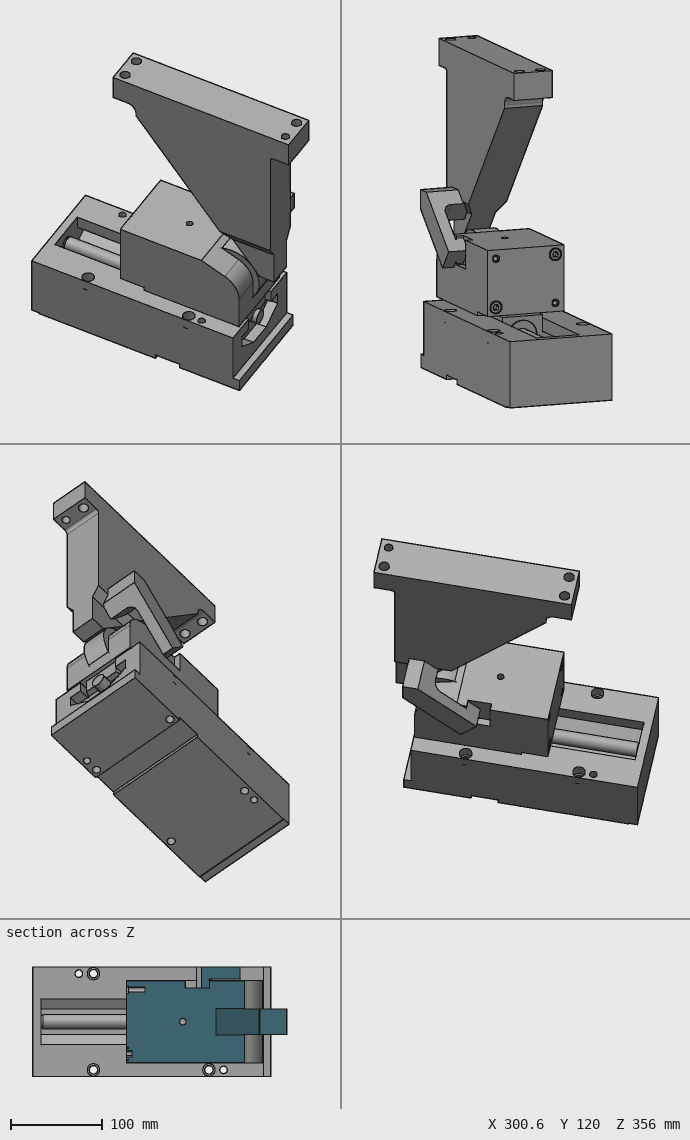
import cadquery as cq
import math


base_length = 252
base_width = 120
base_height = 75
foot_length = 8
foot_height = 15
end_wall = 9.5
end_relief = 1.3
key_slot_start = 155
key_slot_width = 30
key_slot_depth = 5
groove_half_width = 25
groove_lip_bottom = 60
undercut_half_width = 39.5
groove_floor_half_width = 14
groove_floor = 31
groove_floor_slope = 30

mount_x = (66.5, 192.5)
mount_y = 52.5
mount_hole = 9
mount_counterbore = 13.5
mount_counterbore_depth = 13
dowel_hole = 8
dowel_offset = 16

carriage_left = 102.5
carriage_right = 251
carriage_half_width = 45
carriage_top = 157
carriage_bottom = 79.3
overhang_bottom = 83.5
overhang_end = 132.2
nose_radius = 27
nose_slope = 20
tongue_left = 111.8
tongue_full_end = 240
tongue_right = 246.7
tongue_half_width = 23.5
tongue_taper = 2.5
nut_recess_radius = 17
nut_recess_depth = 1.5
face_hole_y = 35
face_hole_low = 93
face_hole_high = 147
screw_recess = 14
screw_head = 12.5
screw_gap_depth = 2
screw_socket_flats = 6
screw_socket_depth = 6
pin_recess = 8
pin_recess_depth = 2
pin_hole = 5
pin_hole_depth = 20
top_hole = 7
top_hole_x = 164
top_hole_depth = 15

wheel_radius = 35
wheel_x = carriage_right - nose_radius
wheel_z = 121

rod_radius = 8
rod_z = 57.5
rod_left = 11.5
rod_journal_radius = 7

arm_top = 356
flange_left = 80.8
flange_length = 219.8
flange_thickness = 30
arm_half_width = 22.5
neck_half_width = 14
neck_taper_top = 187
neck_taper_bottom = 173.3
arm_left = 109.3
arm_right = 277.6
arm_bottom = 133
left_fillet = 10
right_fillet = 4
slope_angle = 50
flange_hole_x = (90.3, 291)
flange_hole_y = 12.5
flange_hole = 11
flange_dowel_hole = 9

lever_angle = 90 - slope_angle
lever_tip_x = 179.1
lever_tip_z = 143
lever_thickness = 27.5
lever_right = 261.3
lever_top = 197.7
lever_outer_y = base_width / 2
lever_inner_y = 46.5
lever_opening_end_x = 229.2
lever_fillet = 10
hook_inner_y = 37
hook_right = 193
pocket_left = 166.8
pocket_floor = 125


def box(x, y, z):
    """Box spanning the (low, high) pairs given for X, Y and Z."""
    size = (x[1] - x[0], y[1] - y[0], z[1] - z[0])
    return cq.Workplane("XY").box(*size, centered=False).translate((x[0], y[0], z[0]))


def prism_xz(outline, y_low, y_high):
    """Extrude a closed outline, drawn on the XZ plane, between two Y values."""
    return outline.extrude(y_low - y_high).translate((0, y_low, 0))


def drill(x, y, z, diameter, depth):
    """Vertical hole tool whose upper end is at z."""
    return cq.Workplane("XY").center(x, y).circle(diameter / 2).extrude(-depth).translate((0, 0, z))


def drill_x(x, y, z, diameter, depth):
    """Hole tool running in +X from x."""
    return cq.Workplane("YZ").center(y, z).circle(diameter / 2).extrude(depth).translate((x, 0, 0))


def tee_prism(neck, x_low, x_high, z_high):
    """Prism along X with the tee section of the groove and a neck of this half width up to z_high."""
    rise = (undercut_half_width - groove_floor_half_width) * math.tan(math.radians(groove_floor_slope))
    section = (
        cq.Workplane("YZ")
        .moveTo(0, groove_floor)
        .lineTo(groove_floor_half_width, groove_floor)
        .lineTo(undercut_half_width, groove_floor + rise)
        .lineTo(undercut_half_width, groove_lip_bottom)
        .lineTo(neck, groove_lip_bottom)
        .lineTo(neck, z_high)
        .lineTo(0, z_high)
        .mirrorY()
    )
    return section.extrude(x_high - x_low).translate((x_low, 0, 0))


def make_base():
    foot_end = base_length + foot_length
    key_slot_end = key_slot_start + key_slot_width
    profile = (
        cq.Workplane("XZ")
        .moveTo(0, end_relief)
        .lineTo(end_wall, end_relief)
        .lineTo(end_wall, 0)
        .lineTo(key_slot_start, 0)
        .lineTo(key_slot_start, key_slot_depth)
        .lineTo(key_slot_end, key_slot_depth)
        .lineTo(key_slot_end, 0)
        .lineTo(foot_end, 0)
        .lineTo(foot_end, foot_height)
        .lineTo(base_length, foot_height)
        .lineTo(base_length, base_height)
        .lineTo(0, base_height)
        .close()
    )
    base = prism_xz(profile, -base_width / 2, base_width / 2)
    groove = tee_prism(groove_half_width, end_wall, base_length, base_height)
    base = base.cut(groove)
    for x in mount_x:
        for y in (-mount_y, mount_y):
            base = base.cut(drill(x, y, base_height, mount_hole, base_height))
            base = base.cut(drill(x, y, base_height, mount_counterbore, mount_counterbore_depth))
    base = base.cut(drill(mount_x[0] - dowel_offset, mount_y, base_height, dowel_hole, base_height))
    return base.cut(drill(mount_x[1] + dowel_offset, -mount_y, base_height, dowel_hole, base_height))


def make_wheel():
    outline = cq.Workplane("XZ").center(wheel_x, wheel_z).circle(wheel_radius)
    return prism_xz(outline, -neck_half_width, neck_half_width)


def make_rod():
    rod = drill_x(rod_left, 0, rod_z, 2 * rod_radius, base_length - rod_left)
    return rod.union(drill_x(end_wall, 0, rod_z, 2 * rod_journal_radius, rod_left - end_wall))


def screw_outline(y, z):
    """Cutter for a flush screw head: the thin gap round the head and its hexagon socket."""
    recess = drill_x(carriage_left, y, z, screw_recess, screw_gap_depth)
    gap = recess.cut(drill_x(carriage_left, y, z, screw_head, screw_gap_depth))
    socket = (
        cq.Workplane("YZ")
        .polygon(6, screw_socket_flats, circumscribed=True)
        .extrude(screw_socket_depth)
        .rotate((0, 0, 0), (1, 0, 0), 30)
        .translate((carriage_left, y, z))
    )
    return gap.union(socket)


def make_carriage():
    angle = math.radians(nose_slope)
    ramp_end_x = wheel_x + nose_radius * math.sin(angle)
    ramp_end_z = wheel_z + nose_radius * math.cos(angle)
    ramp_start_x = ramp_end_x - (carriage_top - ramp_end_z) / math.tan(angle)
    middle = math.radians(90 - nose_slope) / 2
    profile = (
        cq.Workplane("XZ")
        .moveTo(carriage_left, overhang_bottom)
        .lineTo(overhang_end, overhang_bottom)
        .lineTo(overhang_end, carriage_bottom)
        .lineTo(carriage_right, carriage_bottom)
        .lineTo(carriage_right, wheel_z)
        .threePointArc(
            (wheel_x + nose_radius * math.cos(middle), wheel_z + nose_radius * math.sin(middle)),
            (ramp_end_x, ramp_end_z),
        )
        .lineTo(ramp_start_x, carriage_top)
        .lineTo(carriage_left, carriage_top)
        .close()
    )
    carriage = prism_xz(profile, -carriage_half_width, carriage_half_width)
    tail_half_width = tongue_half_width - tongue_taper
    tail = (
        cq.Workplane("XY")
        .moveTo(tongue_full_end, -tongue_half_width)
        .lineTo(tongue_right, -tail_half_width)
        .lineTo(tongue_right, tail_half_width)
        .lineTo(tongue_full_end, tongue_half_width)
        .close()
        .extrude(carriage_bottom - groove_lip_bottom)
        .translate((0, 0, groove_lip_bottom))
    )
    tongue = tee_prism(tongue_half_width, tongue_left, tongue_full_end, carriage_bottom).union(tail)
    tongue = tongue.cut(drill_x(tongue_left, 0, rod_z, 2 * nut_recess_radius, nut_recess_depth))
    carriage = carriage.union(tongue).cut(make_wheel())
    pocket = box((pocket_left, hook_right), (hook_inner_y, carriage_half_width), (pocket_floor, carriage_top))
    carriage = carriage.cut(pocket)
    for side in (-1, 1):
        screw_z = face_hole_high if side < 0 else face_hole_low
        pin_z = face_hole_low if side < 0 else face_hole_high
        y = side * face_hole_y
        carriage = carriage.cut(screw_outline(y, screw_z))
        carriage = carriage.cut(drill_x(carriage_left, y, pin_z, pin_recess, pin_recess_depth))
        carriage = carriage.cut(drill_x(carriage_left, y, pin_z, pin_hole, pin_hole_depth))
    carriage = carriage.cut(drill(top_hole_x, 0, carriage_top, top_hole, top_hole_depth))
    return carriage.cut(make_rod())


def make_lever():
    angle = math.radians(lever_angle)
    heel_x = lever_tip_x + lever_thickness * math.sin(angle)
    heel_z = lever_tip_z - lever_thickness * math.cos(angle)
    crest_x = lever_tip_x + (lever_top - lever_tip_z) / math.tan(angle)
    profile = (
        cq.Workplane("XZ")
        .moveTo(lever_tip_x, lever_tip_z)
        .lineTo(heel_x, heel_z)
        .lineTo(lever_right, heel_z + (lever_right - heel_x) * math.tan(angle))
        .lineTo(lever_right, lever_top)
        .lineTo(crest_x, lever_top)
        .close()
    )
    bar = prism_xz(profile, neck_half_width, lever_outer_y)
    opening_length = (lever_opening_end_x - lever_tip_x) / math.cos(angle)
    opening = (
        cq.Workplane("XY")
        .box(opening_length, lever_inner_y, 3 * lever_thickness, centered=(False, False, True))
        .edges("|Z and >X and >Y")
        .fillet(lever_fillet)
        .rotate((0, 0, 0), (0, 1, 0), -lever_angle)
        .translate((lever_tip_x, 0, lever_tip_z))
    )
    hook = box((lever_tip_x, hook_right), (hook_inner_y, lever_inner_y), (0, lever_top))
    return bar.cut(opening.cut(hook))


def make_arm():
    flange_bottom = arm_top - flange_thickness
    flange_right = flange_left + flange_length
    angle = math.radians(slope_angle)
    tangent_x = wheel_x + wheel_radius * math.sin(angle)
    tangent_z = wheel_z + wheel_radius * math.cos(angle)
    slope_top_z = tangent_z + (tangent_x - arm_left) * math.tan(angle)
    slope_bottom_x = tangent_x + (tangent_z - arm_bottom) / math.tan(angle)
    profile = (
        cq.Workplane("XZ")
        .moveTo(flange_left, arm_top)
        .lineTo(flange_right, arm_top)
        .lineTo(flange_right, flange_bottom)
        .lineTo(arm_right + right_fillet, flange_bottom)
        .radiusArc((arm_right, flange_bottom - right_fillet), -right_fillet)
        .lineTo(arm_right, arm_bottom)
        .lineTo(slope_bottom_x, arm_bottom)
        .lineTo(arm_left, slope_top_z)
        .lineTo(arm_left, flange_bottom - left_fillet)
        .radiusArc((arm_left - left_fillet, flange_bottom), -left_fillet)
        .lineTo(flange_left, flange_bottom)
        .close()
    )
    plate = prism_xz(profile, -arm_half_width, arm_half_width)
    section = (
        cq.Workplane("YZ")
        .moveTo(-neck_half_width, arm_bottom)
        .lineTo(neck_half_width, arm_bottom)
        .lineTo(neck_half_width, neck_taper_bottom)
        .lineTo(arm_half_width, neck_taper_top)
        .lineTo(arm_half_width, arm_top)
        .lineTo(-arm_half_width, arm_top)
        .lineTo(-arm_half_width, neck_taper_top)
        .lineTo(-neck_half_width, neck_taper_bottom)
        .close()
        .extrude(flange_right)
    )
    arm = plate.intersect(section).union(make_lever())
    for x in flange_hole_x:
        for y in (-flange_hole_y, flange_hole_y):
            is_dowel = x == max(flange_hole_x) and y < 0
            diameter = flange_dowel_hole if is_dowel else flange_hole
            arm = arm.cut(drill(x, y, arm_top, diameter, flange_thickness))
    return arm


base = make_base()
carriage = make_carriage()
wheel = make_wheel()
rod = make_rod()
arm = make_arm()

result = cq.Compound.makeCompound([base.val(), carriage.val(), wheel.val(), rod.val(), arm.val()])